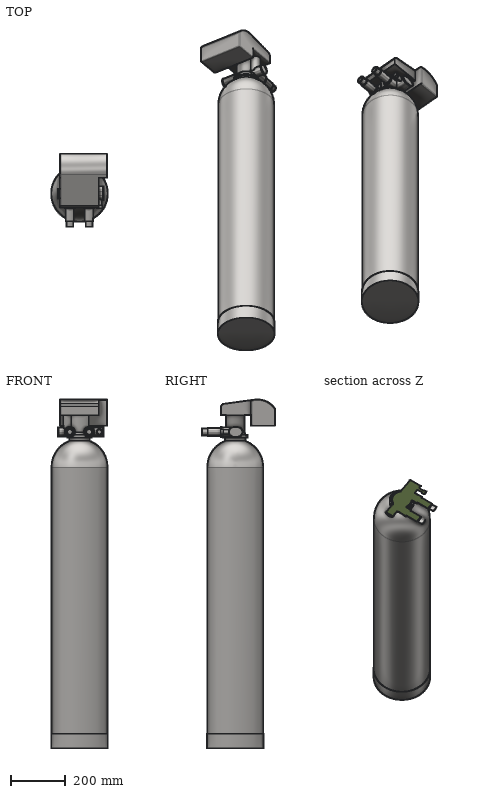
import math

import cadquery as cq

TANK_DIAMETER = 205.0
FOOT_DIAMETER = 207.0
FOOT_HEIGHT = 53.0
WALL_TOP_Z = 1024.0
NECK_DIAMETER = 76.0
NECK_TOP_Z = 1131.0

FLANGE_DIAMETER = 90.0
FLANGE_TOP_Z = 1141.0
SHOULDER_TOP_Z = 1151.0
COLUMN_DIAMETER = 68.0

TOP_Z = 1270.8
HEAD_BACK_Y = 145.0
HEAD_FRONT_Y = -52.0
HEAD_LEFT_X = -71.0
HEAD_RIGHT_X = 71.0
HOUSING_RIGHT_X = 101.0
HOUSING_FRONT_Y = 57.0
HOUSING_BOTTOM_Z = 1174.0
HEAD_BOTTOM_Z = 1213.0
CROWN_RADIUS = 76.0
CROWN_BACK_Z = 1236.0
LID_SLOPE = math.radians(7.8)
BROW_CHAMFER = 7.0
LEFT_EDGE_RADIUS = 2.0
HOUSING_EDGE_RADIUS = 3.0

PIPE_Z = 1152.0
PORT_PIPE_DIAMETER = 36.0
COLLAR_DIAMETER = 38.0
COLLAR_THICKNESS = 4.0
CROSS_PIPE_DIAMETER = 34.0
CAP_DIAMETER = 36.0
CAP_THICKNESS = 4.0
CROSS_LEFT_X = -80.0
CROSS_RIGHT_X = 89.0
BODY_BACK_AXIS_Y = 9.0
BODY_FRONT_AXIS_Y = -6.0
RISER_DIAMETER = 36.0
RISER_X = -41.0

OVERALL_Y = 266.38
PORT_TIP_Y = HEAD_BACK_Y - OVERALL_Y
PORT_X = 35.0
COLLAR_FRONT_Y = -53.0
SLEEVE_FRONT_Y = -101.0
SLEEVE_DIAMETER = 30.0
TIP_DIAMETER = 26.0
TIP_BORE = 20.0

DRAIN_X = 72.5
DRAIN_TIP_Y = -53.0
DRAIN_COLLAR_LENGTH = 10.0
DRAIN_DIAMETER = 16.0
DRAIN_COLLAR_DIAMETER = 20.0


def rod_z(diameter, x, z_start, z_end):
    """Upright cylinder at Y = 0."""
    return cq.Workplane("XY", origin=(x, 0, z_start)).circle(diameter / 2).extrude(z_end - z_start)


def rod_x(diameter, x_start, x_end):
    """Cylinder along X on the pipe axis."""
    plane = cq.Workplane("YZ", origin=(x_start, 0, PIPE_Z))
    return plane.circle(diameter / 2).extrude(x_end - x_start)


def oblong_x(diameter, x_start, x_end):
    """Round-ended bar along X, flat on top and below between its two end axes."""
    mid_y = (BODY_BACK_AXIS_Y + BODY_FRONT_AXIS_Y) / 2
    length = BODY_BACK_AXIS_Y - BODY_FRONT_AXIS_Y + diameter
    plane = cq.Workplane("YZ", origin=(x_start, mid_y, PIPE_Z))
    return plane.slot2D(length, diameter).extrude(x_end - x_start)


def rod_y(diameter, x, y_back, y_front):
    """Cylinder running toward -Y at pipe height."""
    plane = cq.Workplane("XZ", origin=(x, y_back, PIPE_Z))
    return plane.circle(diameter / 2).extrude(y_back - y_front)


def make_vessel():
    """Tank, neck, flange and column as one turned profile."""
    tank_r = TANK_DIAMETER / 2
    foot_r = FOOT_DIAMETER / 2
    neck_r = NECK_DIAMETER / 2
    column_r = COLUMN_DIAMETER / 2
    flange_r = FLANGE_DIAMETER / 2
    dome_mid = tank_r * math.sqrt(0.5)
    dome_top_z = WALL_TOP_Z + math.sqrt(tank_r**2 - neck_r**2)
    return (
        cq.Workplane("XZ")
        .lineTo(foot_r, 0)
        .lineTo(foot_r, FOOT_HEIGHT)
        .lineTo(tank_r, FOOT_HEIGHT)
        .lineTo(tank_r, WALL_TOP_Z)
        .threePointArc((dome_mid, WALL_TOP_Z + dome_mid), (neck_r, dome_top_z))
        .lineTo(neck_r, NECK_TOP_Z)
        .lineTo(flange_r, NECK_TOP_Z)
        .lineTo(flange_r, FLANGE_TOP_Z)
        .lineTo(neck_r, FLANGE_TOP_Z)
        .lineTo(column_r, SHOULDER_TOP_Z)
        .lineTo(column_r, HEAD_BOTTOM_Z)
        .lineTo(0, HEAD_BOTTOM_Z)
        .close()
        .revolve(360, (0, 0, 0), (0, 1, 0))
    )


def make_head():
    """Control head with a crowned back, a sloping lid and a wider rear housing."""
    crown_z = TOP_Z - CROWN_RADIUS
    crown_drop = CROWN_BACK_Z - crown_z
    crown_y = HEAD_BACK_Y - math.sqrt(CROWN_RADIUS**2 - crown_drop**2)
    lid_back_y = crown_y - CROWN_RADIUS * math.sin(LID_SLOPE)
    lid_back_z = crown_z + CROWN_RADIUS * math.cos(LID_SLOPE)
    lid_front_z = lid_back_z - (lid_back_y - HEAD_FRONT_Y) * math.tan(LID_SLOPE)
    head = (
        cq.Workplane("YZ", origin=(HEAD_LEFT_X, 0, 0))
        .moveTo(HEAD_BACK_Y, HOUSING_BOTTOM_Z)
        .lineTo(HEAD_BACK_Y, CROWN_BACK_Z)
        .threePointArc((crown_y, TOP_Z), (lid_back_y, lid_back_z))
        .lineTo(HEAD_FRONT_Y, lid_front_z)
        .lineTo(HEAD_FRONT_Y, HEAD_BOTTOM_Z)
        .lineTo(HOUSING_FRONT_Y, HEAD_BOTTOM_Z)
        .lineTo(HOUSING_FRONT_Y, HOUSING_BOTTOM_Z)
        .close()
        .extrude(HOUSING_RIGHT_X - HEAD_LEFT_X)
    )
    side_notch = cq.Workplane("XY").box(
        HOUSING_RIGHT_X - HEAD_RIGHT_X,
        HOUSING_FRONT_Y - HEAD_FRONT_Y,
        TOP_Z - HOUSING_BOTTOM_Z,
        centered=False,
    )
    head = head.cut(side_notch.translate((HEAD_RIGHT_X, HEAD_FRONT_Y, HOUSING_BOTTOM_Z)))
    brow = cq.selectors.NearestToPointSelector((0, HEAD_FRONT_Y, lid_front_z))
    head = head.edges(brow).chamfer(BROW_CHAMFER)
    head = head.faces(">X or >Y").edges("not <X").fillet(HOUSING_EDGE_RADIUS)
    return head.faces("<X").edges().fillet(LEFT_EDGE_RADIUS)


def make_cross_pipe():
    """Capped cross pipe on the left, oblong valve body on the right, riser up to the head."""
    pipe = rod_x(CROSS_PIPE_DIAMETER, CROSS_LEFT_X, 0)
    left_cap = rod_x(CAP_DIAMETER, CROSS_LEFT_X, CROSS_LEFT_X + CAP_THICKNESS)
    body = oblong_x(CROSS_PIPE_DIAMETER, 0, CROSS_RIGHT_X)
    right_cap = oblong_x(CAP_DIAMETER, CROSS_RIGHT_X - CAP_THICKNESS, CROSS_RIGHT_X)
    riser = rod_z(RISER_DIAMETER, RISER_X, PIPE_Z, HEAD_BOTTOM_Z)
    return pipe.union(left_cap).union(body).union(right_cap).union(riser)


def make_port(x):
    """Stepped port: pipe, collar, sleeve and open tip."""
    pipe = rod_y(PORT_PIPE_DIAMETER, x, 0, COLLAR_FRONT_Y)
    collar = rod_y(COLLAR_DIAMETER, x, COLLAR_FRONT_Y + COLLAR_THICKNESS, COLLAR_FRONT_Y)
    sleeve = rod_y(SLEEVE_DIAMETER, x, COLLAR_FRONT_Y, SLEEVE_FRONT_Y)
    tip = rod_y(TIP_DIAMETER, x, SLEEVE_FRONT_Y, PORT_TIP_Y)
    bore = rod_y(TIP_BORE, x, SLEEVE_FRONT_Y, PORT_TIP_Y)
    return pipe.union(collar).union(sleeve).union(tip).cut(bore)


def make_drain():
    """Small drain tube with a collar at its free end."""
    tube = rod_y(DRAIN_DIAMETER, DRAIN_X, 0, DRAIN_TIP_Y)
    collar = rod_y(DRAIN_COLLAR_DIAMETER, DRAIN_X, DRAIN_TIP_Y + DRAIN_COLLAR_LENGTH, DRAIN_TIP_Y)
    return tube.union(collar)


result = make_vessel().union(make_head()).union(make_cross_pipe())
for port_x in (-PORT_X, PORT_X):
    result = result.union(make_port(port_x))
result = result.union(make_drain())